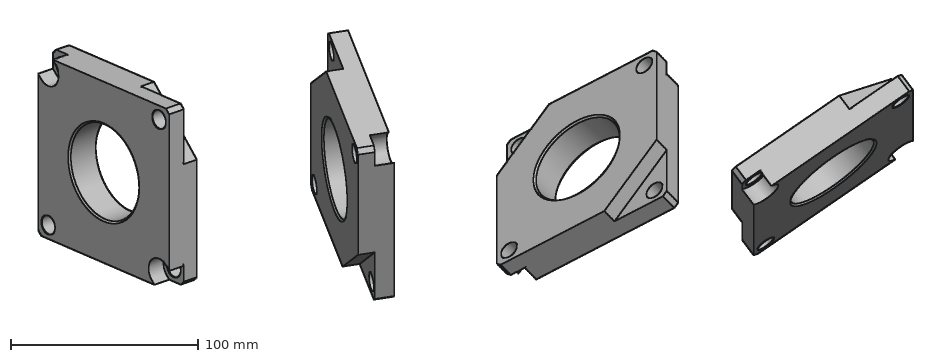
import cadquery as cq

side = 105.0
thickness = 20.0
front_depth = 10.6
corner_radius = 72.5

relief_start = 18.2

bore_diameter = 54.8
bore_chamfer = 1.0

hole_offset = 44.4
hole_diameter = 10.5
hole_chamfer = 0.26
pocket_radius = 8.3
pocket_reach = 21.0

half = side / 2


def make_flange():
    """Square plate, y = 0 to y = thickness, with its corners turned to a round."""
    plate = cq.Workplane("XY").box(side, thickness, side, centered=(True, False, True))
    return plate.intersect(front_prism(cq.Workplane("XZ").circle(corner_radius), 0, thickness))


def front_prism(sketch, start, depth):
    """Extrude a closed sketch on the XZ plane from y = start toward +Y."""
    return sketch.extrude(-depth).translate((0, start, 0))


def corner_relief(sign):
    """Triangular prism behind the corner at (sign, sign)."""
    triangle = cq.Workplane("XZ").polyline([
        (sign * half, sign * relief_start),
        (sign * half, sign * half),
        (sign * relief_start, sign * half),
    ]).close()
    return front_prism(triangle, front_depth, thickness - front_depth)


def corner_pocket(sign):
    """U-shaped pocket opening diagonally through the corner at (-sign, sign)."""
    width = 2 * pocket_radius
    round_end = cq.Workplane("XZ").circle(pocket_radius)
    channel = cq.Workplane("XZ").center(pocket_reach / 2, 0).rect(pocket_reach, width)
    pocket = front_prism(round_end, 0, front_depth).union(front_prism(channel, 0, front_depth))
    angle = -135 if sign > 0 else 45
    pocket = pocket.rotate((0, 0, 0), (0, 1, 0), angle)
    return pocket.translate((-sign * hole_offset, 0, sign * hole_offset))


def chamfered_hole(radius, chamfer, start, end):
    """Hole along Y from y = start to y = end, with its rim at the start flared open."""
    hole = front_prism(cq.Workplane("XZ").circle(radius), start, end - start)
    rim = cq.Workplane("XZ").circle(radius + chamfer).workplane(offset=-chamfer).circle(radius)
    return hole.union(rim.loft().translate((0, start, 0)))


def mounting_hole(sign_x, sign_z):
    """Hole in one corner, starting at the pocket floor where the corner has a pocket."""
    start = 0 if sign_x == sign_z else front_depth
    hole = chamfered_hole(hole_diameter / 2, hole_chamfer, start, thickness)
    return hole.translate((sign_x * hole_offset, 0, sign_z * hole_offset))


def central_bore():
    """Through bore with both rims chamfered."""
    front_half = chamfered_hole(bore_diameter / 2, bore_chamfer, 0, thickness / 2)
    back_half = front_half.mirror("XZ", (0, thickness / 2, 0))
    return front_half.union(back_half)


result = make_flange().cut(central_bore())
for sign in (-1, 1):
    result = result.cut(corner_relief(sign)).cut(corner_pocket(sign))
    for sign_z in (-1, 1):
        result = result.cut(mounting_hole(sign, sign_z))